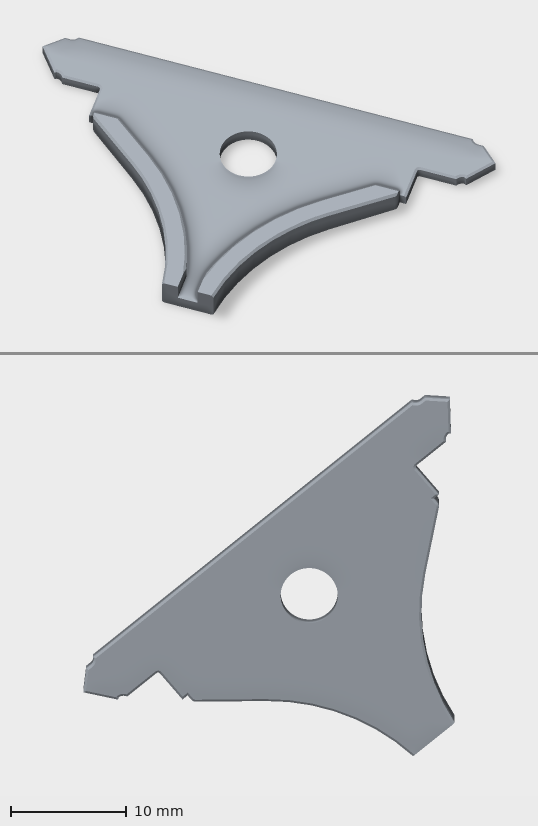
import cadquery as cq
import math

plate_thickness = 1.15
tip_x = 20.6
tip_y = -1.9
arm_front_y = -4.6
body_half_width = 14.42
inner_corner_radius = 0.2

chamfer_depth = 0.12
chamfer_width = 0.2
rail_chamfer = 0.2
rail_back_bevel = 0.35
selection_margin = 0.4

notch_radius = 0.65
notch_depth = 0.4
notch_center_x = 18.55
back_shoulder_x = 19.05
front_shoulder_x = 18.7
front_shoulder_height = 0.3

hole_radius = 2.47
hole_y = -7.65

rail_back_y = -7.87
rail_half_width = 13.85
rail_corner_y = -8.6
rail_corner_radius = 0.5
rail_width = 1.85
rail_base_z = plate_thickness / 2
curve_start_x = 9.0
curve_start_y = -12.55
front_y = -24.5
front_half_width = 2.35
rail_back_height = 2.1
rail_front_height = 2.68
slot_half_width = 0.9

notch_rise = notch_radius - notch_depth
notch_start_x = notch_center_x - math.sqrt(notch_radius**2 - notch_rise**2)
notch_middle_angle = math.acos(notch_rise / notch_radius) / 2
notch_middle_x = notch_center_x - notch_radius * math.sin(notch_middle_angle)
notch_middle_depth = notch_radius * math.cos(notch_middle_angle) - notch_rise

side_run = rail_half_width - curve_start_x
side_drop = rail_corner_y - curve_start_y
side_length = math.hypot(side_run, side_drop)
normal_x = side_drop / side_length
normal_y = -side_run / side_length

chord_x = front_half_width - curve_start_x
chord_y = front_y - curve_start_y
curve_radius = (chord_x**2 + chord_y**2) / (2 * (chord_x * normal_x + chord_y * normal_y))
curve_center_x = curve_start_x + curve_radius * normal_x
curve_center_y = curve_start_y + curve_radius * normal_y


def curve_point(offset, y):
    """Point at the given Y on the side curve, moved inward by the offset."""
    reach = math.sqrt((curve_radius + offset) ** 2 - (y - curve_center_y) ** 2)
    return (curve_center_x - reach, y)


def curve_start(offset):
    """Point where the straight side meets the curve, moved inward by the offset."""
    return (curve_start_x - offset * normal_x, curve_start_y - offset * normal_y)


def curve_middle(offset):
    """Point midway along Y on the side curve, moved inward by the offset."""
    return curve_point(offset, (curve_start_y + front_y) / 2)


def mirrored(half):
    """Whole body from its +X half."""
    return half.union(half.mirror("YZ"))


def round_upright_edge(body, x, y, radius):
    """Round the upright edge nearest to the given place."""
    edge = cq.selectors.NearestToPointSelector((x, y, body.val().Center().z))
    return body.edges("|Z").edges(edge).fillet(radius)


def make_outline_half(height):
    """Upright body on the +X side: notched arm, straight body and curved side."""
    half = (
        cq.Workplane("XY")
        .lineTo(notch_start_x, 0)
        .threePointArc((notch_middle_x, -notch_middle_depth), (notch_center_x, -notch_depth))
        .lineTo(back_shoulder_x, -notch_depth)
        .lineTo(tip_x, tip_y)
        .lineTo(front_shoulder_x, arm_front_y + front_shoulder_height)
        .lineTo(notch_center_x, arm_front_y + notch_depth)
        .threePointArc(
            (notch_middle_x, arm_front_y + notch_middle_depth), (notch_start_x, arm_front_y)
        )
        .lineTo(body_half_width, arm_front_y)
        .lineTo(body_half_width, rail_back_y)
        .lineTo(rail_half_width, rail_back_y)
        .lineTo(rail_half_width, rail_corner_y)
        .lineTo(*curve_start(0))
        .threePointArc(curve_middle(0), (front_half_width, front_y))
        .lineTo(0, front_y)
        .close()
        .extrude(height)
    )
    half = round_upright_edge(half, body_half_width, arm_front_y, inner_corner_radius)
    return round_upright_edge(half, rail_half_width, rail_corner_y, rail_corner_radius)


def make_plate_half():
    """Plate with its underside outline and the upper edges behind the rails chamfered."""
    half = make_outline_half(plate_thickness)
    underside = half.faces("<Z").edges("not(<Y or <X)")
    half = underside.chamfer(chamfer_width, chamfer_depth)
    behind_rails = cq.selectors.BoxSelector(
        (0, selection_margin, 0),
        (2 * tip_x, rail_back_y + selection_margin, 2 * plate_thickness),
    )
    upper_edges = half.faces(">Z").edges("not <X").edges(behind_rails)
    return upper_edges.chamfer(chamfer_width, chamfer_depth)


def make_rail():
    """Rail with a bevelled back, a top rising toward the front and chamfered long edges."""
    inner_x, inner_y = curve_start(rail_width)
    inner_back_x = inner_x + (rail_back_y - inner_y) * side_run / side_drop
    rail = (
        cq.Workplane("XY", origin=(0, 0, rail_base_z))
        .moveTo(inner_back_x, rail_back_y)
        .lineTo(rail_half_width, rail_back_y)
        .lineTo(rail_half_width, rail_corner_y)
        .lineTo(*curve_start(0))
        .threePointArc(curve_middle(0), (front_half_width, front_y))
        .lineTo(*curve_point(rail_width, front_y))
        .threePointArc(curve_middle(rail_width), (inner_x, inner_y))
        .close()
        .extrude(rail_front_height - rail_base_z)
    )
    side_profile = (
        cq.Workplane("YZ")
        .moveTo(rail_back_y, 0)
        .lineTo(rail_back_y, rail_back_height - rail_back_bevel)
        .lineTo(rail_back_y - rail_back_bevel, rail_back_height)
        .lineTo(front_y, rail_front_height)
        .lineTo(front_y, 0)
        .close()
        .extrude(tip_x)
    )
    rail = rail.intersect(side_profile)
    long_edges = rail.faces(">Z").edges("not(<Y or >Y or >X)")
    rail = long_edges.chamfer(rail_chamfer)
    return rail.intersect(make_outline_half(rail_front_height))


def make_slot():
    """Straight channel that opens the floor between the rails to the front."""
    return (
        cq.Workplane("XY", origin=(0, 0, plate_thickness))
        .rect(2 * slot_half_width, -2 * front_y)
        .extrude(rail_front_height)
    )


def make_hole():
    """Round hole through the plate."""
    return cq.Workplane("XY").center(0, hole_y).circle(hole_radius).extrude(plate_thickness)


body = mirrored(make_plate_half().union(make_rail()))
result = body.cut(make_slot()).cut(make_hole())